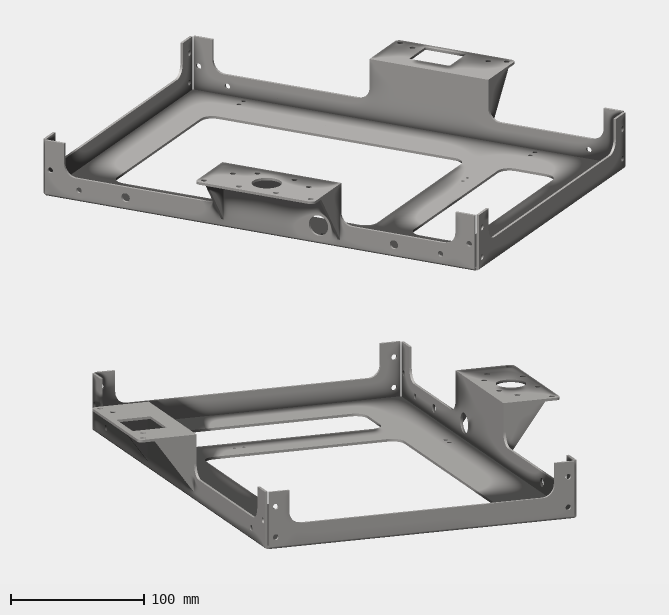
import cadquery as cq

sheet = 2.0
bend_radius = 2.0

length = 365.0
width = 250.5
wall_clearance = 2.5
rail_height = 18.2
corner_height = 44.5
corner_reach = 18.5
cut_radius = 10.0

total_width = 339.0
total_height = 51.0
bracket_x = 17.5
bracket_width = 99.5
plate_corner = 3.5
gusset_reach = 31.8
gusset_bottom = 6.2

window_width = 159.5
window_spans = [(-147.0, 70.8), (102.0, 147.5)]

pair_hole = 3.5
small_pair_hole = 2.5
pair_pitch = 7.5
back_pairs_x = [-135.0, 109.0]
back_pairs_y = 114.0
front_pair_x = 49.3
front_pair_y = -110.0
small_pair_x = 88.5
small_pair_y = 42.5

wall_hole = 4.5
corner_hole_x = 175.5
corner_hole_z = 21.0
rail_hole_x = 151.5
low_hole_z = 9.0
side_hole_y = 117.5
side_hole_z = 33.0
plug_hole = 7.0
plug_hole_x = 112.5
plug_hole_z = 10.0
cable_hole = 16.0
cable_hole_x = 49.3
cable_hole_z = 14.5

plate_hole = 4.5
plate_hole_span = 89.5
plate_hole_y = 164.2
inner_hole_span = 63.5
back_inner_hole_y = 159.0
front_inner_hole_y = -141.5
motor_hole = 22.5
motor_hole_y = -148.5
motor_screw_pitch = 31.0
port_x = 11.0
port_y = 150.7
port_length = 34.0
port_width = 27.5

half_length = length / 2
half_width = width / 2
bracket_left = bracket_x - bracket_width / 2
bracket_right = bracket_x + bracket_width / 2


def block(x_span, y_span, z_span):
    """Box that fills the given spans."""
    spans = (x_span, y_span, z_span)
    sizes = [high - low for low, high in spans]
    corner = tuple(low for low, high in spans)
    return cq.Workplane("XY").box(*sizes, centered=False).translate(corner)


def folded_channel(span, run, height):
    """Channel along Y: a floor with a wall bent up along each long side."""
    outer = block((-span / 2, span / 2), (-run / 2, run / 2), (0, height))
    inner = block((sheet - span / 2, span / 2 - sheet), (-run / 2, run / 2), (sheet, height))
    outer = outer.edges("|Y and <Z").fillet(bend_radius)
    return outer.cut(inner)


def wall_notch(low, high, depth):
    """Cutter through walls facing Y that leaves only the rail, with rounded lower corners."""
    cutter = block((low, high), (-depth, depth), (rail_height, 2 * total_height))
    return cutter.edges("|Y and <Z").fillet(cut_radius)


def make_side_walls():
    """Floor with the left and right walls."""
    channel = folded_channel(length, width - 2 * wall_clearance, corner_height)
    notch_end = half_width - corner_reach
    notch = wall_notch(-notch_end, notch_end, length).rotate((0, 0, 0), (0, 0, 1), 90)
    return channel.cut(notch)


def make_long_walls():
    """Floor with the front and back walls, which rise to full height at the brackets."""
    run = length - 2 * wall_clearance
    channel = folded_channel(width, run, total_height).rotate((0, 0, 0), (0, 0, 1), 90)
    notch_end = half_length - corner_reach
    for low, high in ((-notch_end, bracket_left), (bracket_right, notch_end)):
        channel = channel.cut(wall_notch(low, high, width))
    for low, high in ((-length, bracket_left), (bracket_right, length)):
        channel = channel.cut(block((low, high), (-width, width), (corner_height, 2 * total_height)))
    return channel


def make_bracket():
    """Back bracket: a top plate on two triangular gussets."""
    plate = block(
        (bracket_left, bracket_right),
        (half_width - sheet, total_width / 2),
        (total_height - sheet, total_height),
    )
    plate = plate.edges("|Z and >Y").fillet(plate_corner)
    gusset_outline = [
        (half_width - sheet, gusset_bottom),
        (half_width, gusset_bottom),
        (half_width + gusset_reach, total_height - sheet),
        (half_width - sheet, total_height - sheet),
    ]
    gusset = cq.Workplane("YZ").polyline(gusset_outline).close().extrude(sheet)
    for x in (bracket_left, bracket_right - sheet):
        plate = plate.union(gusset.translate((x, 0, 0)))
    return plate


def upright_hole(x, y, diameter):
    """Cutter for a round hole along Z through any plate."""
    return cq.Workplane("XY").center(x, y).circle(diameter / 2).extrude(total_height)


def plate_holes_cut(body):
    """Holes of both bracket plates."""
    positions = []
    for side in (-1, 1):
        plate_x = bracket_x + side * plate_hole_span / 2
        inner_x = bracket_x + side * inner_hole_span / 2
        screw_x = bracket_x + side * motor_screw_pitch / 2
        positions += [(plate_x, plate_hole_y), (plate_x, -plate_hole_y)]
        positions += [(inner_x, back_inner_hole_y), (inner_x, front_inner_hole_y)]
        for end in (-1, 1):
            positions.append((screw_x, motor_hole_y + end * motor_screw_pitch / 2))
    for x, y in positions:
        body = body.cut(upright_hole(x, y, plate_hole))
    body = body.cut(upright_hole(bracket_x, motor_hole_y, motor_hole))
    port = cq.Workplane("XY").center(port_x, port_y).rect(port_length, port_width)
    return body.cut(port.extrude(total_height))


def floor_windows_cut(body):
    """Two large openings with rounded corners."""
    for low, high in window_spans:
        window = block((low, high), (-window_width / 2, window_width / 2), (0, total_height))
        body = body.cut(window.edges("|Z").fillet(cut_radius))
    return body


def floor_holes_cut(body):
    """Pairs of small round holes."""
    holes = []
    for end in (-1, 1):
        offset = end * pair_pitch / 2
        for x in back_pairs_x:
            holes.append((x, back_pairs_y + offset, pair_hole))
        holes.append((front_pair_x + offset, front_pair_y, pair_hole))
        holes.append((small_pair_x, small_pair_y + offset, small_pair_hole))
    for x, y, diameter in holes:
        body = body.cut(upright_hole(x, y, diameter))
    return body


def wall_holes_cut(body):
    """Holes through both long walls, both side walls, and the front wall alone."""
    for side in (-1, 1):
        for x, z in ((corner_hole_x, corner_hole_z), (rail_hole_x, low_hole_z)):
            hole = cq.Workplane("XZ").center(side * x, z).circle(wall_hole / 2)
            body = body.cut(hole.extrude(width, both=True))
        for z in (side_hole_z, low_hole_z):
            hole = cq.Workplane("YZ").center(side * side_hole_y, z).circle(wall_hole / 2)
            body = body.cut(hole.extrude(length, both=True))
    front_holes = [
        (-plug_hole_x, plug_hole_z, plug_hole),
        (plug_hole_x, plug_hole_z, plug_hole),
        (cable_hole_x, cable_hole_z, cable_hole),
    ]
    for x, z, diameter in front_holes:
        hole = cq.Workplane("XZ").center(x, z).circle(diameter / 2)
        body = body.cut(hole.extrude(width))
    return body


bracket = make_bracket()
tray = make_side_walls().union(make_long_walls())
tray = tray.union(bracket).union(bracket.mirror("XZ"))
tray = floor_windows_cut(tray)
tray = floor_holes_cut(tray)
tray = plate_holes_cut(tray)
result = wall_holes_cut(tray)